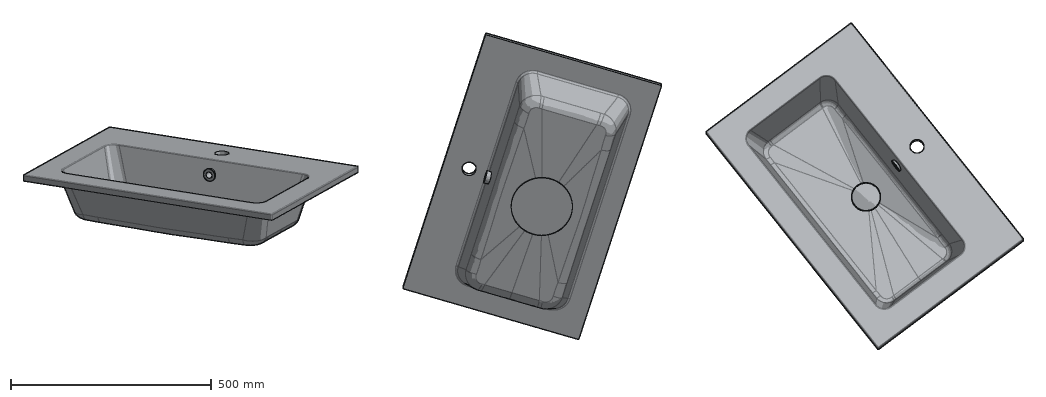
import cadquery as cq
import math

slab_length = 705
slab_width = 460
slab_thickness = 16
slab_corner_radius = 3
slab_edge_radius = 2
total_height = 140

rim_half_length = 287
rim_back_y = 107
rim_front_y = -166
rim_corner_radius = 27
rim_edge_radius = 2
side_lean = 0.267
back_lean = 0.143
front_lean = 0.267

cavity_foot_z = -118
cavity_foot_corner_radius = 32
cavity_fillet_radius = 14
drain_z = -126

wall_gap = 11
floor_thickness = 9
outer_foot_z = cavity_foot_z - floor_thickness
outer_rim_corner_radius = 38
outer_foot_corner_radius = 44
outer_fillet_radius = 28
underside_fillet_radius = 6

pad_diameter = 153
pad_y = -25
pad_thickness = 3
pad_top_z = pad_thickness - total_height

drain_y = 4
drain_diameter = 73
drain_recess_depth = 5
plug_diameter = 71
plug_rim_height = drain_recess_depth
plug_dome_height = 3

overflow_z = -39
overflow_front_y = 97
overflow_back_y = 122.5
overflow_diameter = 32
overflow_hole_diameter = 16

faucet_hole_diameter = 35
faucet_hole_y = 165


def bowl_outline(z, gap, corner_radius):
    """Rounded rectangle of the bowl at height z, moved outwards from the cavity by gap."""
    half_length = rim_half_length + side_lean * z + gap
    back_y = rim_back_y + back_lean * z + gap
    front_y = rim_front_y - front_lean * z - gap
    block = cq.Workplane().rect(2 * half_length, back_y - front_y).extrude(1)
    outline = block.edges("|Z").fillet(corner_radius).faces("<Z").wires().val()
    return outline.translate(cq.Vector(0, (front_y + back_y) / 2, z))


def floor_circle(z, y, diameter):
    """Horizontal circle on the Y axis where a sloping floor ends."""
    return cq.Wire.makeCircle(diameter / 2, cq.Vector(0, y, z), cq.Vector(0, 0, 1))


def edges_at_height(body, z):
    """Edges lying in the plane at height z, without the outer edges of the slab."""
    reach_x = 0.48 * slab_length
    reach_y = 0.48 * slab_width
    tolerance = 0.05
    box = cq.selectors.BoxSelector(
        (-reach_x, -reach_y, z - tolerance), (reach_x, reach_y, z + tolerance), boundingbox=True
    )
    return body.edges(box)


def bowl_shape(top_outline, foot_outline, centre_circle, fillet_radius):
    """Leaning walls, a floor sloping down to the centre circle and a fillet round the wall foot."""
    walls = cq.Workplane(cq.Solid.makeLoft([top_outline, foot_outline], True))
    floor = cq.Workplane(cq.Solid.makeLoft([foot_outline, centre_circle], True))
    foot_z = foot_outline.Center().z
    return edges_at_height(walls.union(floor), foot_z).fillet(fillet_radius)


def make_slab():
    slab = cq.Workplane().box(slab_length, slab_width, slab_thickness, centered=(True, True, False))
    slab = slab.edges("|Z").fillet(slab_corner_radius)
    slab = slab.faces(">Z").edges().fillet(slab_edge_radius)
    return slab.translate((0, 0, -slab_thickness))


def make_outer_bowl():
    return bowl_shape(
        bowl_outline(-slab_thickness, wall_gap, outer_rim_corner_radius),
        bowl_outline(outer_foot_z, wall_gap, outer_foot_corner_radius),
        floor_circle(pad_top_z, pad_y, pad_diameter),
        outer_fillet_radius,
    )


def make_cavity():
    return bowl_shape(
        bowl_outline(0, 0, rim_corner_radius),
        bowl_outline(cavity_foot_z, 0, cavity_foot_corner_radius),
        floor_circle(drain_z, drain_y, drain_diameter),
        cavity_fillet_radius,
    )


def vertical_cylinder(y, bottom_z, diameter, height):
    return cq.Workplane().workplane(offset=bottom_z).center(0, y).circle(diameter / 2).extrude(height)


def overflow_cylinder(diameter):
    """Cylinder along Y through the back wall, from the ring in the cavity to the end of the rear boss."""
    plane = cq.Plane(origin=(0, overflow_front_y, overflow_z), xDir=(1, 0, 0), normal=(0, 1, 0))
    return cq.Workplane(plane).circle(diameter / 2).extrude(overflow_back_y - overflow_front_y)


def make_basin():
    basin = make_slab().union(make_outer_bowl())
    basin = edges_at_height(basin, -slab_thickness).fillet(underside_fillet_radius)
    basin = basin.union(vertical_cylinder(pad_y, -total_height, pad_diameter, pad_thickness))
    basin = basin.cut(make_cavity())
    basin = edges_at_height(basin, 0).fillet(rim_edge_radius)
    basin = basin.union(overflow_cylinder(overflow_diameter))
    basin = basin.cut(overflow_cylinder(overflow_hole_diameter))
    recess = vertical_cylinder(drain_y, drain_z - drain_recess_depth, drain_diameter, drain_recess_depth)
    faucet_hole = vertical_cylinder(faucet_hole_y, -slab_thickness, faucet_hole_diameter, slab_thickness)
    return basin.cut(recess).cut(faucet_hole)


def make_plug():
    """Disc with a domed top, resting on the floor of the drain recess."""
    radius = plug_diameter / 2
    top_z = plug_rim_height + plug_dome_height
    half_angle = math.atan(plug_dome_height / radius)
    dome_radius = radius / math.sin(2 * half_angle)
    dome_middle = (
        dome_radius * math.sin(half_angle),
        top_z - dome_radius * (1 - math.cos(half_angle)),
    )
    profile = (
        cq.Workplane("XZ")
        .lineTo(radius, 0)
        .lineTo(radius, plug_rim_height)
        .threePointArc(dome_middle, (0, top_z))
        .close()
    )
    plug = profile.revolve(360, (0, 0, 0), (0, 1, 0))
    return plug.translate((0, drain_y, drain_z - drain_recess_depth))


basin = make_basin()
plug = make_plug()
result = cq.Compound.makeCompound([basin.val(), plug.val()])